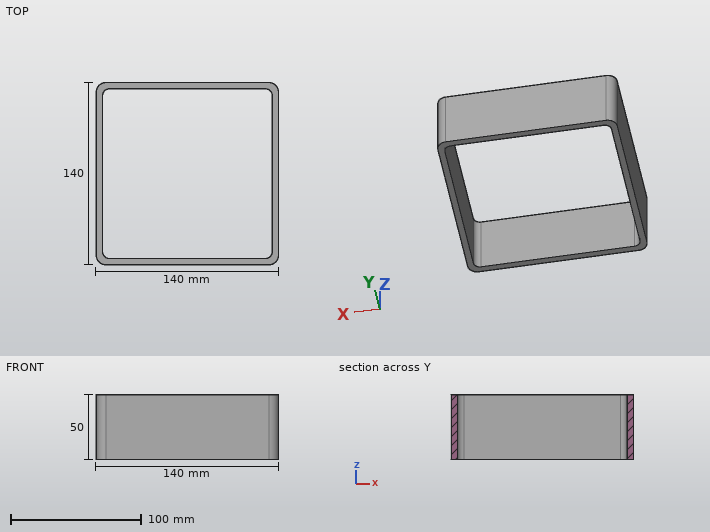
import cadquery as cq

side_length = 140.0
height = 50.0
wall_thickness = 5.0
outer_corner_radius = 7.5
inner_corner_radius = 5.0

opening_length = side_length - 2 * wall_thickness


def rounded_square_prism(length, corner_radius):
    """Upright square prism centred on Z, with rounded vertical edges."""
    return cq.Workplane("XY").rect(length, length).extrude(height).edges("|Z").fillet(corner_radius)


outer_body = rounded_square_prism(side_length, outer_corner_radius)
opening = rounded_square_prism(opening_length, inner_corner_radius)

result = outer_body.cut(opening)